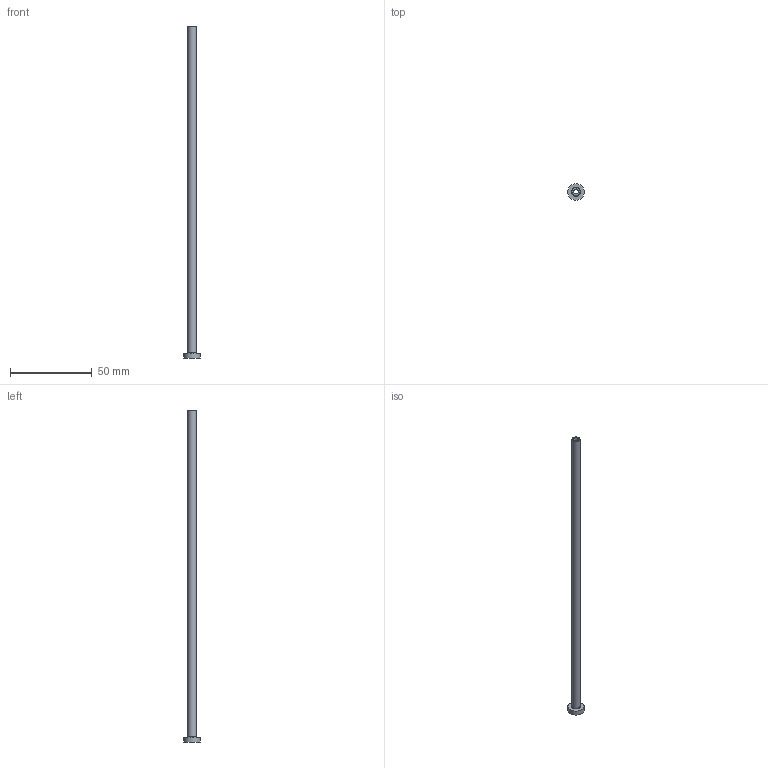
import cadquery as cq

head_diameter = 10.0
head_thickness = 3.0
tube_diameter = 5.0
bore_diameter = 3.0
overall_length = 203.0
neck_fillet = 0.3


def make_cylinder(diameter, length):
    """Cylinder on the Z axis, rising from the base plane."""
    return cq.Workplane("XY").circle(diameter / 2).extrude(length)


def round_neck(body):
    """Fillet the inner corner where the tube meets the head."""
    point_on_tube = (tube_diameter / 2, 0, overall_length / 2)
    tube_wall = body.faces(cq.selectors.NearestToPointSelector(point_on_tube))
    return tube_wall.edges("<Z").fillet(neck_fillet)


head = make_cylinder(head_diameter, head_thickness)
tube = make_cylinder(tube_diameter, overall_length)
bore = make_cylinder(bore_diameter, overall_length)

result = round_neck(head.union(tube)).cut(bore)